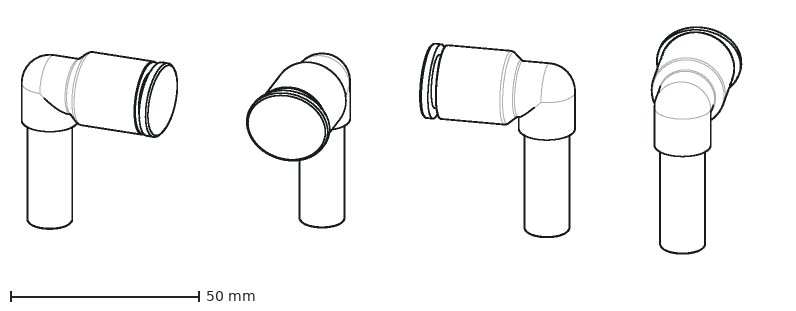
import cadquery as cq

elbow_radius = 7.5
lower_arm_length = 10.9

stem_radius = 6.0
stem_bottom_z = -39.875
stem_chamfer = 0.3

body_radius = 9.875
cone_foot_x = 7.5
cone_top_x = 10.3
foot_fillet = 0.8
shoulder_fillet = 1.1
body_end_x = 28.15
body_end_chamfer = 0.2

collar_radius = 7.15
flange_start_x = 29.9
flange_end_x = 32.2
flange_width = 22.5
flange_height = 19.4
flange_chamfer = 0.5


def make_elbow():
    """Spherical outer corner with the lower arm."""
    ball = cq.Workplane("XY").sphere(elbow_radius)
    lower_arm = cq.Workplane("XY").circle(elbow_radius).extrude(-lower_arm_length)
    return ball.union(lower_arm)


def make_stem():
    """Plain plug stem with a small chamfer at its free end."""
    return (
        cq.Workplane("XY")
        .circle(stem_radius)
        .extrude(stem_bottom_z)
        .faces("<Z")
        .chamfer(stem_chamfer)
    )


def fillet_ring(solid, ring_x, radius):
    """Round the circular edge whose centre lies on the X axis at ring_x."""
    ring = cq.selectors.NearestToPointSelector((ring_x, 0, 0))
    return solid.edges(ring).fillet(radius)


def make_body():
    """Elbow side arm, socket body and button collar, turned about the X axis."""
    body = (
        cq.Workplane("XY")
        .lineTo(0, elbow_radius)
        .lineTo(cone_foot_x, elbow_radius)
        .lineTo(cone_top_x, body_radius)
        .lineTo(body_end_x - body_end_chamfer, body_radius)
        .lineTo(body_end_x, body_radius - body_end_chamfer)
        .lineTo(body_end_x, collar_radius)
        .lineTo(flange_start_x, collar_radius)
        .lineTo(flange_start_x, 0)
        .close()
        .revolve(360, (0, 0, 0), (1, 0, 0))
    )
    body = fillet_ring(body, cone_foot_x, foot_fillet)
    return fillet_ring(body, cone_top_x, shoulder_fillet)


def make_flange():
    """Oval button flange, wider along Y, chamfered on its outer face."""
    return (
        cq.Workplane("YZ", origin=(flange_start_x, 0, 0))
        .ellipse(flange_width / 2, flange_height / 2)
        .extrude(flange_end_x - flange_start_x)
        .faces(">X")
        .chamfer(flange_chamfer)
    )


result = make_elbow().union(make_stem()).union(make_body()).union(make_flange())